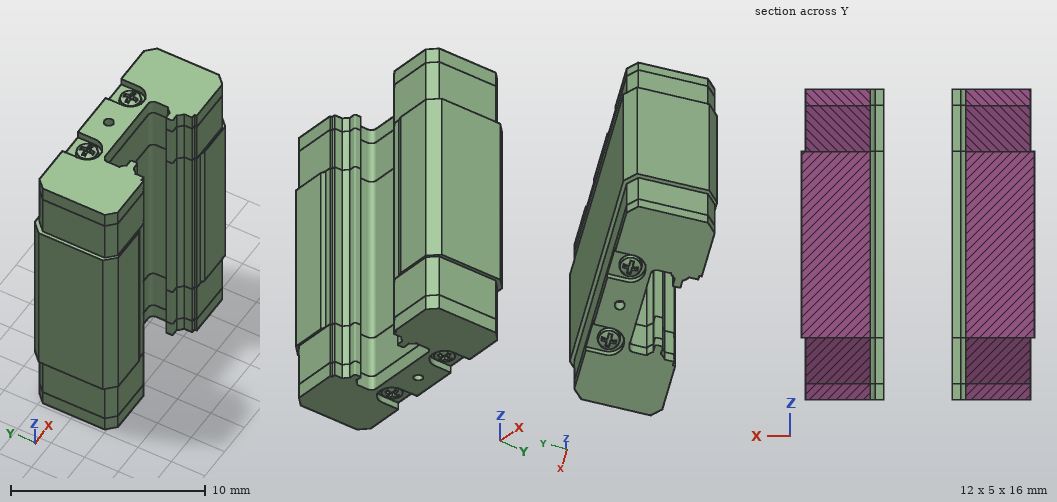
import cadquery as cq
import math

LENGTH = 16.0
BLOCK_LENGTH = 9.6
SEAL_THICKNESS = 0.83
CAP_LENGTH = (LENGTH - BLOCK_LENGTH) / 2 - SEAL_THICKNESS

BLOCK_WIDTH = 12.0
BLOCK_HEIGHT = 5.0
BLOCK_TOP = BLOCK_HEIGHT / 2
BLOCK_BOTTOM = -BLOCK_TOP
BLOCK_CORNER = 0.58

END_INSET = 0.2
END_WIDTH = BLOCK_WIDTH - 2 * END_INSET
END_TOP = BLOCK_TOP - END_INSET
END_BOTTOM = -2.4
END_CORNER = 0.5

SLOPE_INNER_X = 3.05
SLOPE_OUTER_X = 3.33

CHANNEL_HALF_WIDTH = 2.46
CHANNEL_ROOF = 0.2
CHANNEL_FILLET = 0.3
MOUTH_HALF_WIDTH = 2.69
MOUTH_ROOF = -2.27
CUTTER_BOTTOM = BLOCK_BOTTOM - 0.16

LIP_TIP_X = 1.76
LIP_ROOT_X = 2.2
LIP_TOP = -1.09
LIP_BOTTOM = -1.5
LIP_FILLET = 0.06
FLANK_SIZE = CHANNEL_HALF_WIDTH - LIP_ROOT_X
FLANK_BULGE = 0.02

SCREW_X = 2.2
SCREW_Y = 1.26
NOTCH_RADIUS = 0.78
NOTCH_DEPTH = 0.4
NOTCH_FLOOR = LENGTH / 2 - NOTCH_DEPTH
GREASE_HOLE_RADIUS = 0.25

HEAD_RADIUS = 0.6
HEAD_SHOULDER_RADIUS = 0.55
HEAD_SHOULDER_HEIGHT = 0.2
HEAD_HEIGHT = 0.32
CROSS_LENGTH = 0.77
CROSS_WIDTH = 0.2
CROSS_DEPTH = 0.24


def chamfered_bar(width, bottom, top, corner, z_start, length):
    """Rectangular bar along Z, centred on X, with its four long edges chamfered."""
    bar = cq.Workplane("XY").box(width, top - bottom, length, centered=(True, True, False))
    return bar.edges("|Z").chamfer(corner).translate((0, (top + bottom) / 2, z_start))


def slot_bar(half_width, roof, z_start, length):
    """Plain bar along Z from below the carriage up to the given roof."""
    bar = cq.Workplane("XY").box(2 * half_width, roof - CUTTER_BOTTOM, length, centered=(True, False, False))
    return bar.translate((0, CUTTER_BOTTOM, z_start))


def lip_bar(z_start, length):
    """Lip on the +X wall of the channel, with its two flanks and rounded tip edges."""
    bulge_x = (LIP_ROOT_X + CHANNEL_HALF_WIDTH) / 2 - FLANK_BULGE
    upper_bulge_y = LIP_TOP + FLANK_SIZE / 2 + FLANK_BULGE
    lower_bulge_y = LIP_BOTTOM - FLANK_SIZE / 2 - FLANK_BULGE
    lip = (
        cq.Workplane("XY")
        .moveTo(CHANNEL_HALF_WIDTH, LIP_TOP + FLANK_SIZE)
        .threePointArc((bulge_x, upper_bulge_y), (LIP_ROOT_X, LIP_TOP))
        .lineTo(LIP_TIP_X, LIP_TOP)
        .lineTo(LIP_TIP_X, LIP_BOTTOM)
        .lineTo(LIP_ROOT_X, LIP_BOTTOM)
        .threePointArc((bulge_x, lower_bulge_y), (CHANNEL_HALF_WIDTH, LIP_BOTTOM - FLANK_SIZE))
        .close()
        .extrude(length)
    )
    return lip.edges("|Z and <X").fillet(LIP_FILLET).translate((0, 0, z_start))


def channel_cutter(z_start, length):
    """Space for the rail: the channel and its stepped mouth, less the two lips."""
    channel = slot_bar(CHANNEL_HALF_WIDTH, CHANNEL_ROOF, z_start, length)
    channel = channel.edges("|Z and >Y").fillet(CHANNEL_FILLET)
    mouth = slot_bar(MOUTH_HALF_WIDTH, MOUTH_ROOF, z_start, length)
    lip = lip_bar(z_start, length)
    return channel.union(mouth).cut(lip).cut(lip.mirror("YZ"))


def make_block():
    """Carriage block, with its underside relieved beside the channel."""
    z_start = -BLOCK_LENGTH / 2
    block = chamfered_bar(BLOCK_WIDTH, BLOCK_BOTTOM, BLOCK_TOP, BLOCK_CORNER, z_start, BLOCK_LENGTH)
    relief = (
        cq.Workplane("XY")
        .moveTo(-SLOPE_OUTER_X, BLOCK_BOTTOM)
        .lineTo(SLOPE_OUTER_X, BLOCK_BOTTOM)
        .lineTo(SLOPE_INNER_X, END_BOTTOM)
        .lineTo(-SLOPE_INNER_X, END_BOTTOM)
        .close()
        .extrude(BLOCK_LENGTH)
        .translate((0, 0, z_start))
    )
    return block.cut(relief).cut(channel_cutter(z_start, BLOCK_LENGTH))


def end_piece(z_start, length):
    """Length of the profile that the caps and the seals share."""
    bar = chamfered_bar(END_WIDTH, END_BOTTOM, END_TOP, END_CORNER, z_start, length)
    return bar.cut(channel_cutter(z_start, length))


def make_cap():
    """End cap against the top end of the block."""
    return end_piece(BLOCK_LENGTH / 2, CAP_LENGTH)


def screw_notch(x):
    """Round-ended notch, open toward +Y, that holds one screw head."""
    round_end = cq.Workplane("XY").circle(NOTCH_RADIUS).extrude(NOTCH_DEPTH)
    opening = cq.Workplane("XY").box(
        2 * NOTCH_RADIUS, BLOCK_TOP - SCREW_Y, NOTCH_DEPTH, centered=(True, False, False)
    )
    return round_end.union(opening).translate((x, SCREW_Y, NOTCH_FLOOR))


def make_seal():
    """End seal on the top cap, with two screw notches and a grease hole through it."""
    z_start = LENGTH / 2 - SEAL_THICKNESS
    seal = end_piece(z_start, SEAL_THICKNESS)
    for x in (-SCREW_X, SCREW_X):
        seal = seal.cut(screw_notch(x))
    grease_hole = cq.Workplane("XY").circle(GREASE_HOLE_RADIUS).extrude(SEAL_THICKNESS)
    return seal.cut(grease_hole.translate((0, SCREW_Y, z_start)))


def make_screw(x):
    """Domed screw head with a cross recess, seated on a notch floor of the top seal."""
    dome_rise = HEAD_HEIGHT - HEAD_SHOULDER_HEIGHT
    dome_radius = (HEAD_SHOULDER_RADIUS**2 + dome_rise**2) / (2 * dome_rise)
    middle_x = HEAD_SHOULDER_RADIUS / 2
    middle_z = HEAD_HEIGHT - dome_radius + math.sqrt(dome_radius**2 - middle_x**2)
    head = (
        cq.Workplane("XZ")
        .lineTo(HEAD_RADIUS, 0)
        .lineTo(HEAD_SHOULDER_RADIUS, HEAD_SHOULDER_HEIGHT)
        .threePointArc((middle_x, middle_z), (0, HEAD_HEIGHT))
        .close()
        .revolve(360, (0, 0, 0), (0, 1, 0))
    )
    for size_x, size_y in ((CROSS_LENGTH, CROSS_WIDTH), (CROSS_WIDTH, CROSS_LENGTH)):
        arm = cq.Workplane("XY").box(size_x, size_y, CROSS_DEPTH, centered=(True, True, False))
        head = head.cut(arm.translate((0, 0, HEAD_HEIGHT - CROSS_DEPTH)))
    return head.translate((x, SCREW_Y, NOTCH_FLOOR))


def at_both_ends(part):
    """Solids of a top-end part and of its mirror image at the bottom end."""
    return [*part.solids().vals(), *part.mirror("XY").solids().vals()]


block = make_block().solids().val()
caps = at_both_ends(make_cap())
seals = at_both_ends(make_seal())
screws = []
for screw_x in (-SCREW_X, SCREW_X):
    screws += at_both_ends(make_screw(screw_x))

result = cq.Compound.makeCompound([block, *caps, *seals, *screws])